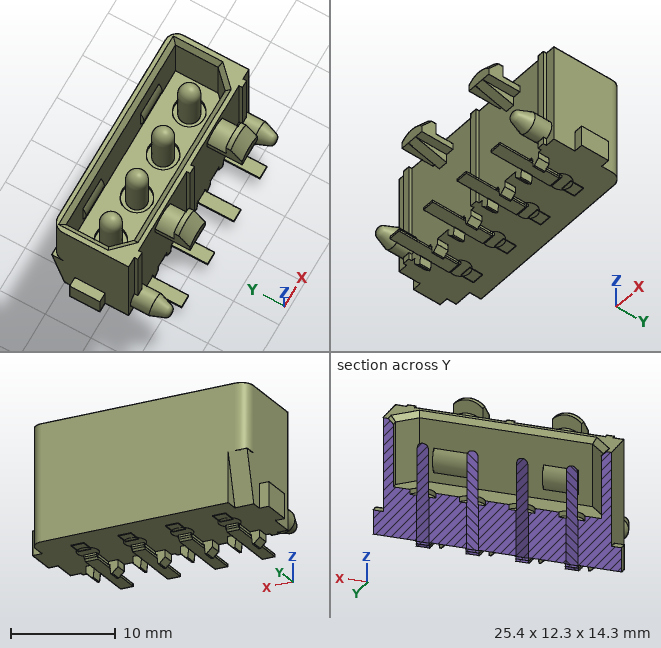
import cadquery as cq
import math

housing_width = 23.37
housing_depth = 8.43
housing_height = 12.32
corner_radius = 1.25
shoulder_height = 5.28
relief_width = 2.03
relief_depth = 1.4

end_wall = 1.07
long_wall = 1.0
lead_in = 0.53
cavity_floor = 5.28
cavity_corner = 1.78
cavity_width = housing_width - 2 * end_wall
cavity_back = housing_depth - long_wall

swell_length = 3.55
swell_height = 2.55
swell_rise = 0.35
swell_offset = 5.61
swell_center = 7.57

contact_pitch = 5.08
contact_count = 4
contact_y = 4.25
pin_diameter = 2.2
pin_top = 10.8
recess_diameter = 3.2
recess_depth = 0.5
tail_width = 1.37
tail_thickness = 0.25
tail_top = -0.3
tail_reach = 3.89
tail_back = 3.75
tail_bevel = 0.35

foot_depth = 1.32
foot_half_width = 1.73
foot_shoulder = -0.74
foot_bottom = -1.3
prong_tip_outer = 1.12
prong_tip_inner = 0.95
prong_root = 0.81
window_depth = 0.15
pad_front = 4.85
pad_length = 1.55
pad_height = 0.08

rib_width = 0.81
rib_depth = 0.38
rib_offset = 10.15
lug_length = 1.02
lug_front = 2.6
lug_depth = 3.3
lug_height = 2.57
peg_offset = 10.15
peg_height = 2.0
peg_diameter = 2.41
peg_straight = 2.05
peg_length = 3.84
peg_end_diameter = 1.12
peg_round = 0.48

latch_offset = 5.05
latch_width = 3.0
latch_crown = 0.65
latch_bottom = 10.19
arm_side = 10.95
arm_length = 2.05
hook_side = 12.32
hook_flat_end = 2.6
hook_tip_side = 10.92
latch_length = 3.84
brace_width = 1.12
brace_bottom = 9.12

contact_positions = [
    (index - (contact_count - 1) / 2) * contact_pitch for index in range(contact_count)
]


def block(x_min, x_max, y_min, y_max, z_min, z_max):
    """Box between the given limits."""
    size = (x_max - x_min, y_max - y_min, z_max - z_min)
    return cq.Workplane("XY").box(*size, centered=False).translate((x_min, y_min, z_min))


def centered_block(x_center, width, y_min, y_max, z_min, z_max):
    """Box of the given width, centred on x_center."""
    return block(x_center - width / 2, x_center + width / 2, y_min, y_max, z_min, z_max)


def make_shell():
    """Outer block with rounded back corners; the -X corner is square and relieved low down."""
    half = housing_width / 2
    lower = block(-half, half, 0, housing_depth, 0, shoulder_height)
    lower = lower.edges("|Z and >X and >Y").fillet(corner_radius)
    upper = block(-half, half, 0, housing_depth, shoulder_height, housing_height)
    upper = upper.edges("|Z and >Y").fillet(corner_radius)
    relief = (
        cq.Workplane("YZ", origin=(-half, 0, 0))
        .moveTo(housing_depth, shoulder_height)
        .lineTo(housing_depth - relief_depth, 0)
        .lineTo(housing_depth, 0)
        .close()
        .extrude(relief_width)
    )
    return lower.cut(relief).union(upper)


def cavity_outline(z, margin):
    """Cavity outline at height z, with every side moved outward by margin."""
    half = cavity_width / 2 + margin
    front = long_wall - margin
    back = cavity_back + margin
    bevel = cavity_corner + margin * (2 - math.sqrt(2))
    points = [
        (-half, back),
        (-half, front + bevel),
        (-half + bevel, front),
        (half - bevel, front),
        (half, front + bevel),
        (half, back),
    ]
    return cq.Wire.makePolygon([cq.Vector(x, y, z) for x, y in points], close=True)


def make_cavity():
    """Cavity with two bevelled front corners and a 45 degree lead-in at its mouth."""
    mouth_start = housing_height - lead_in
    floor = cavity_outline(cavity_floor, 0)
    throat = cavity_outline(mouth_start, 0)
    rim = cavity_outline(housing_height, lead_in)
    well = cq.Solid.makeLoft([floor, throat], True)
    mouth = cq.Solid.makeLoft([throat, rim], True)
    return cq.Workplane(well).union(cq.Workplane(mouth))


def make_swell(x_center, wall_y, direction):
    """Shallow cylindrical swell on a cavity wall, rising toward `direction` along Y."""
    return (
        cq.Workplane("YZ", origin=(x_center - swell_length / 2, 0, 0))
        .moveTo(wall_y, swell_center - swell_height / 2)
        .threePointArc(
            (wall_y + direction * swell_rise, swell_center),
            (wall_y, swell_center + swell_height / 2),
        )
        .close()
        .extrude(swell_length)
    )


def make_foot(x_center):
    """Two-pronged foot under the front edge, a shallow window and a saddle for the tail."""
    right_prong = [
        (prong_root, tail_top),
        (prong_tip_inner, foot_bottom),
        (prong_tip_outer, foot_bottom),
        (foot_half_width, foot_shoulder),
        (foot_half_width, 0),
    ]
    left_prong = [(-x, z) for x, z in reversed(right_prong)]
    foot = (
        cq.Workplane("XZ", origin=(x_center, foot_depth, 0))
        .polyline(left_prong + right_prong)
        .close()
        .extrude(foot_depth)
    )
    window = centered_block(x_center, tail_width, 0, window_depth, tail_top, 0)
    saddle_back = tail_back - tail_thickness
    saddle = centered_block(x_center, tail_width, foot_depth, saddle_back, tail_top, 0)
    return foot.cut(window).union(saddle)


def make_peg(x_center):
    """Locating peg on the front face: cylinder, cone and rounded tip."""
    base = cq.Workplane("XZ", origin=(x_center, 0, peg_height))
    straight = base.circle(peg_diameter / 2).extrude(peg_straight)
    cone = (
        base.workplane(offset=peg_straight)
        .circle(peg_diameter / 2)
        .workplane(offset=peg_length - peg_straight)
        .circle(peg_end_diameter / 2)
        .loft()
        .faces("<Y")
        .edges()
        .fillet(peg_round)
    )
    return straight.union(cone)


def arch_section(plane, side_z):
    """Latch cross-section: flat bottom, upright sides ending at side_z, arched top."""
    half = latch_width / 2
    return (
        plane.moveTo(-half, latch_bottom)
        .lineTo(half, latch_bottom)
        .lineTo(half, side_z)
        .threePointArc((0, side_z + latch_crown), (-half, side_z))
        .close()
    )


def make_latch(x_center):
    """Latch arm with an upturned, sloped hook and a tapered brace below it."""
    front = cq.Workplane("XZ", origin=(x_center, 0, 0))
    arm = arch_section(front, arm_side).extrude(arm_length)
    hook = arch_section(front.workplane(offset=arm_length), hook_side).extrude(hook_flat_end - arm_length)
    slope_start = arch_section(front.workplane(offset=hook_flat_end), hook_side)
    slope_end = slope_start.workplane(offset=latch_length - hook_flat_end)
    slope = arch_section(slope_end, hook_tip_side).loft(ruled=True)
    brace = (
        cq.Workplane("YZ", origin=(x_center - brace_width / 2, 0, 0))
        .polyline([(0, latch_bottom), (0, brace_bottom), (-latch_length, latch_bottom)])
        .close()
        .extrude(brace_width)
    )
    return arm.union(hook).union(slope).union(brace)


def make_pin(x_center):
    """Round contact pin with a hemispherical tip, reaching the housing underside."""
    radius = pin_diameter / 2
    shank = cq.Workplane("XY", origin=(x_center, contact_y, 0)).circle(radius).extrude(pin_top - radius)
    tip = cq.Workplane("XY", origin=(x_center, contact_y, pin_top - radius)).sphere(radius)
    return shank.union(tip)


def make_tail(x_center):
    """Flat solder tail hanging from the pin and bent forward around the housing saddle."""
    tail_bottom = tail_top - tail_thickness
    saddle_back = tail_back - tail_thickness
    outline = [
        (-tail_reach, tail_bottom),
        (tail_back - tail_bevel, tail_bottom),
        (tail_back, tail_bottom + tail_bevel),
        (tail_back, 0),
        (saddle_back, 0),
        (saddle_back, tail_top),
        (-tail_reach, tail_top),
    ]
    return (
        cq.Workplane("YZ", origin=(x_center - tail_width / 2, 0, 0))
        .polyline(outline)
        .close()
        .extrude(tail_width)
    )


def make_housing(pins):
    """Complete connector housing with holes that fit the pins."""
    body = make_shell().cut(make_cavity())
    for x in (-rib_offset, 0, rib_offset):
        body = body.union(centered_block(x, rib_width, -rib_depth, 0, 0, housing_height))
    half = housing_width / 2
    for x_min in (-half - lug_length, half):
        lug = block(x_min, x_min + lug_length, lug_front, lug_front + lug_depth, 0, lug_height)
        body = body.union(lug)
    for x in (-peg_offset, peg_offset):
        body = body.union(make_peg(x))
    for x in (-latch_offset, latch_offset):
        body = body.union(make_latch(x))
    for x in (-swell_offset, swell_offset):
        body = body.union(make_swell(x, cavity_back, -1))
        body = body.union(make_swell(x, long_wall, 1))
    for x, pin in zip(contact_positions, pins):
        body = body.union(make_foot(x))
        pad = centered_block(x, tail_width, pad_front, pad_front + pad_length, -pad_height, 0)
        recess = (
            cq.Workplane("XY", origin=(x, contact_y, cavity_floor))
            .circle(recess_diameter / 2)
            .extrude(-recess_depth)
        )
        body = body.union(pad).cut(recess).cut(pin)
    return body


pins = [make_pin(x) for x in contact_positions]
tails = [make_tail(x) for x in contact_positions]
housing = make_housing(pins)

result = cq.Compound.makeCompound(
    [housing.val(), *[pin.val() for pin in pins], *[tail.val() for tail in tails]]
)